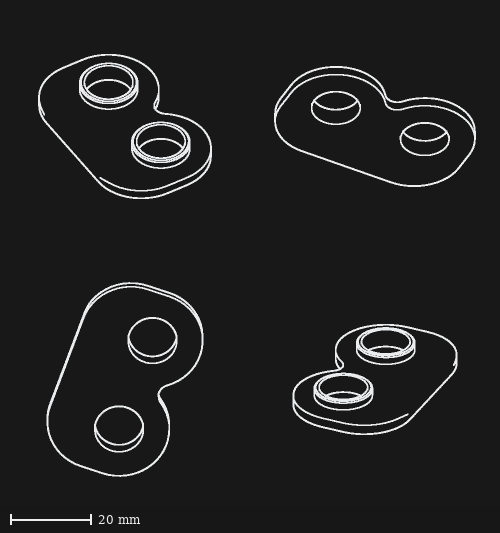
import cadquery as cq
import math

length = 50.0
width = 30.7
corner_radius = length / 4
notch_radius = 3.0
plate_thickness = 2.6
front_round_radius = 0.75

total_height = 4.9
ring_diameter = 14.5
bore_diameter = 12.1
ring_chamfer = 0.35

lobe_x = length / 2 - corner_radius
front_y = corner_radius - width
front_corner_y = front_y + corner_radius


def make_plate():
    """Rounded plate with two rear lobes joined by a tangent notch arc."""
    half_length = length / 2
    center_distance = corner_radius + notch_radius
    notch_center_y = math.sqrt(center_distance**2 - lobe_x**2)
    notch_bottom_y = notch_center_y - notch_radius
    tangent_ratio = corner_radius / center_distance
    tangent_x = lobe_x * (1 - tangent_ratio)
    tangent_y = notch_center_y * tangent_ratio
    diagonal = corner_radius * math.sqrt(0.5)

    return (
        cq.Workplane("XY")
        .moveTo(-lobe_x, front_y)
        .lineTo(lobe_x, front_y)
        .threePointArc((lobe_x + diagonal, front_corner_y - diagonal), (half_length, front_corner_y))
        .lineTo(half_length, 0)
        .threePointArc((lobe_x, corner_radius), (tangent_x, tangent_y))
        .threePointArc((0, notch_bottom_y), (-tangent_x, tangent_y))
        .threePointArc((-lobe_x, corner_radius), (-half_length, 0))
        .lineTo(-half_length, front_corner_y)
        .threePointArc((-lobe_x - diagonal, front_corner_y - diagonal), (-lobe_x, front_y))
        .close()
        .extrude(plate_thickness)
    )


def make_front_rounding():
    """Straight cutter that rounds the top front edge and runs out through the corner arcs."""
    arc_inset = front_round_radius * (1 - math.sqrt(0.5))
    return (
        cq.Workplane("YZ")
        .moveTo(front_y, plate_thickness)
        .lineTo(front_y + front_round_radius, plate_thickness)
        .threePointArc(
            (front_y + arc_inset, plate_thickness - arc_inset),
            (front_y, plate_thickness - front_round_radius),
        )
        .close()
        .extrude(length / 2, both=True)
    )


def make_ring(x):
    """Solid ring body with a chamfered top rim, standing on the plate base."""
    return (
        cq.Workplane("XY")
        .center(x, 0)
        .circle(ring_diameter / 2)
        .extrude(total_height)
        .faces(">Z")
        .edges()
        .chamfer(ring_chamfer)
    )


def make_bore(x):
    """Through bore of one ring."""
    return cq.Workplane("XY").center(x, 0).circle(bore_diameter / 2).extrude(total_height)


result = make_plate().cut(make_front_rounding())
for ring_x in (-lobe_x, lobe_x):
    result = result.union(make_ring(ring_x)).cut(make_bore(ring_x))